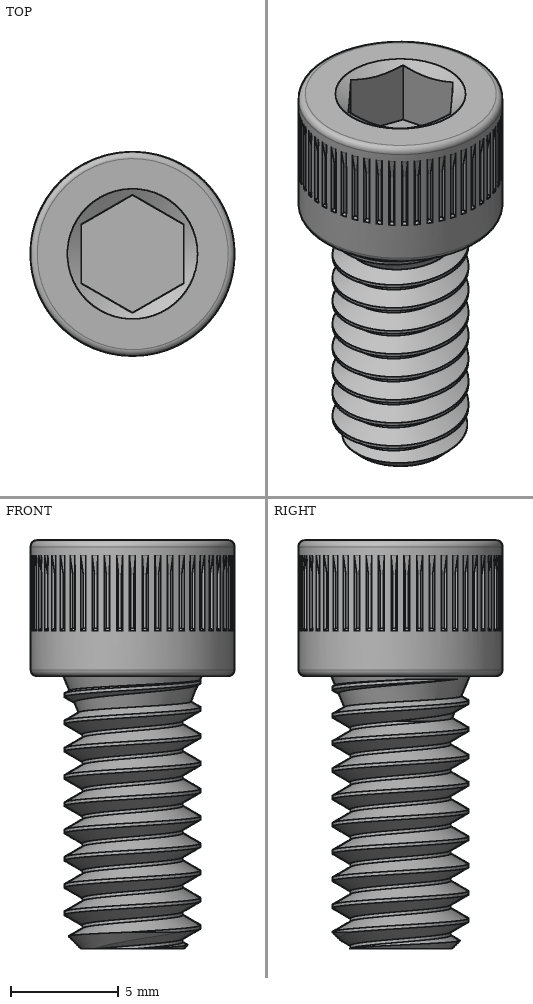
import math

import cadquery as cq

INCH = 25.4

HEAD_DIAMETER = 0.375 * INCH
HEAD_RADIUS = HEAD_DIAMETER / 2
HEAD_HEIGHT = 0.25 * INCH
HEAD_FILLET = 0.31

HEX_SIDES = 6
HEX_ACROSS_FLATS = 0.1875 * INCH
HEX_ACROSS_CORNERS = HEX_ACROSS_FLATS / math.cos(math.pi / HEX_SIDES)
SOCKET_DEPTH = HEAD_HEIGHT / 2
SOCKET_MOUTH_RADIUS = 3.035
COUNTERSINK_ANGLE = 120

FLUTE_COUNT = 50
FIRST_FLUTE_ANGLE = -90
FLUTE_WIDTH = 0.28
FLUTE_DEPTH = 0.12
FLUTE_WALL_ANGLE = 30
FLUTE_TOP = HEAD_HEIGHT - 0.71
FLUTE_BOTTOM = 2.12
FLUTE_RUN_OUT = 0.86
FLUTE_CLEARANCE = 0.1

THREAD_DIAMETER = 0.25 * INCH
THREAD_RADIUS = THREAD_DIAMETER / 2
PITCH = INCH / 20
SHANK_LENGTH = 0.5 * INCH
FLANK_ANGLE = 30
CREST_WIDTH = PITCH / 8
THREAD_DEPTH = 0.75 * PITCH / (2 * math.tan(math.radians(FLANK_ANGLE)))
ROOT_RADIUS = THREAD_RADIUS - THREAD_DEPTH
ROOT_OVERLAP = 0.1
CREST_START = -0.25

NECK_RADIUS = 3.23
NECK_LENGTH = 2.1
HEAD_OVERLAP = 0.5
TIP_RADIUS = 2.4
CREST_CLEARANCE = 0.1


def make_head():
    blank = cq.Workplane("XY").circle(HEAD_RADIUS).extrude(HEAD_HEIGHT)
    return blank.faces("|Z").edges().fillet(HEAD_FILLET)


def make_socket():
    """Cutter for the hexagon, corners on the Y axis, and its conical mouth."""
    hexagon = (
        cq.Workplane("XY", origin=(0, 0, HEAD_HEIGHT))
        .polygon(HEX_SIDES, HEX_ACROSS_CORNERS)
        .extrude(-SOCKET_DEPTH)
        .rotate((0, 0, 0), (0, 0, 1), 180 / HEX_SIDES)
    )
    cone_height = SOCKET_MOUTH_RADIUS / math.tan(math.radians(COUNTERSINK_ANGLE / 2))
    countersink = cq.Workplane(
        cq.Solid.makeCone(0, SOCKET_MOUTH_RADIUS, cone_height, pnt=(0, 0, HEAD_HEIGHT - cone_height))
    )
    return hexagon.union(countersink)


def make_flute_cutter():
    """Trapezoidal flute on the +X side: a sloping run-out at the top and a 45 degree end at the bottom."""
    floor_x = HEAD_RADIUS - FLUTE_DEPTH
    outer_x = HEAD_RADIUS + FLUTE_CLEARANCE
    wall_slope = math.tan(math.radians(FLUTE_WALL_ANGLE))
    floor_half_width = FLUTE_WIDTH / 2 - FLUTE_DEPTH * wall_slope
    outer_half_width = FLUTE_WIDTH / 2 + FLUTE_CLEARANCE * wall_slope
    cross_section = (
        cq.Workplane("XY")
        .polyline([
            (floor_x, -floor_half_width),
            (outer_x, -outer_half_width),
            (outer_x, outer_half_width),
            (floor_x, floor_half_width),
        ])
        .close()
        .extrude(HEAD_HEIGHT)
    )
    side_profile = (
        cq.Workplane("XZ")
        .polyline([
            (HEAD_RADIUS, FLUTE_TOP),
            (floor_x, FLUTE_TOP - FLUTE_RUN_OUT),
            (floor_x, FLUTE_BOTTOM + FLUTE_DEPTH),
            (HEAD_RADIUS, FLUTE_BOTTOM),
            (outer_x, FLUTE_BOTTOM),
            (outer_x, FLUTE_TOP),
        ])
        .close()
        .extrude(outer_half_width, both=True)
    )
    return cross_section.intersect(side_profile)


def cut_flutes(head):
    flute = make_flute_cutter().val()
    cutters = [
        flute.rotate(cq.Vector(0, 0, 0), cq.Vector(0, 0, 1), FIRST_FLUTE_ANGLE + index * 360 / FLUTE_COUNT)
        for index in range(FLUTE_COUNT)
    ]
    return cq.Workplane(head.val().cut(*cutters))


def make_core():
    """Root cylinder of the thread, widening in a conical neck at the head and reaching into it.

    It is revolved from the YZ plane so that its seam stays clear of the ridge's seam, which lies in XZ.
    """
    return (
        cq.Workplane("YZ")
        .polyline([
            (0, HEAD_OVERLAP),
            (NECK_RADIUS, HEAD_OVERLAP),
            (NECK_RADIUS, 0),
            (ROOT_RADIUS, -NECK_LENGTH),
            (ROOT_RADIUS, -SHANK_LENGTH),
            (0, -SHANK_LENGTH),
        ])
        .close()
        .revolve(360, (0, 0), (0, 1))
    )


def make_thread_ridge():
    """Right-handed helical ridge, running past both ends of the shank."""
    spare_turns = 1
    turns_below = math.ceil(SHANK_LENGTH / PITCH) + spare_turns
    start_z = CREST_START - turns_below * PITCH
    length = (turns_below + spare_turns) * PITCH
    base_radius = ROOT_RADIUS - ROOT_OVERLAP
    crest_half = CREST_WIDTH / 2
    base_half = crest_half + (THREAD_RADIUS - base_radius) * math.tan(math.radians(FLANK_ANGLE))
    helix = cq.Wire.makeHelix(PITCH, length, base_radius, center=cq.Vector(0, 0, start_z))
    return (
        cq.Workplane("XZ")
        .polyline([
            (base_radius, start_z - base_half),
            (THREAD_RADIUS, start_z - crest_half),
            (THREAD_RADIUS, start_z + crest_half),
            (base_radius, start_z + base_half),
        ])
        .close()
        .sweep(cq.Workplane(helix), isFrenet=True)
    )


def make_shank_envelope():
    """Outermost shape of the shank: clear of the crest all along, with a 45 degree cone at the tip."""
    outer_radius = THREAD_RADIUS + CREST_CLEARANCE
    return (
        cq.Workplane("XZ")
        .polyline([
            (0, HEAD_OVERLAP),
            (outer_radius, HEAD_OVERLAP),
            (outer_radius, outer_radius - TIP_RADIUS - SHANK_LENGTH),
            (TIP_RADIUS, -SHANK_LENGTH),
            (0, -SHANK_LENGTH),
        ])
        .close()
        .revolve(360, (0, 0), (0, 1))
    )


def make_shank():
    ridge = make_thread_ridge().intersect(make_shank_envelope())
    return make_core().union(ridge)


head = cut_flutes(make_head()).cut(make_socket())
result = head.union(make_shank())